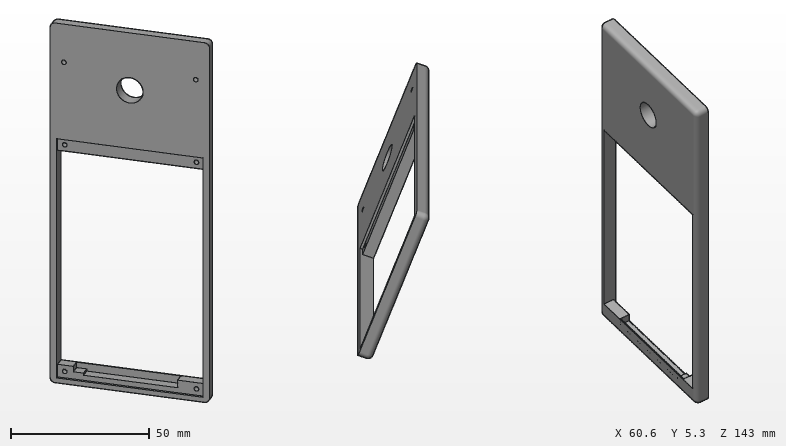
import cadquery as cq

width = 60.6
thickness = 5.3
height = 143.0
corner_radius = 2.0
back_edge_radius = 2.0

side_wall = 2.6
bottom_wall = 2.0
recess_width = width - 2 * side_wall
recess_height = 95.1
recess_depth = 1.0
ledge_height = 5.0
recess_bottom = bottom_wall
recess_top = recess_bottom + recess_height
window_bottom = recess_bottom + ledge_height
window_top = recess_top - ledge_height

large_hole_diameter = 10.0
large_hole_z = height - 22.9
screw_hole_diameter = 1.7
screw_hole_depth = 2.9
screw_hole_x = 25.0
upper_screw_z = height - 15.2
ledge_screw_offset = ledge_height / 2

pocket_left = -21.7
pocket_step_x = -17.9
pocket_right = 17.9
shallow_drop = 2.1
deep_drop = 3.0
pocket_back_wall = 0.5


def front_box(left, right, bottom, top, front, back):
    """Box given by its limits along X, Z and Y."""
    return (
        cq.Workplane("XY")
        .box(right - left, back - front, top - bottom, centered=False)
        .translate((left, front, bottom))
    )


def bore(x, z, diameter, front, depth):
    """Round cutter running from the front towards +Y."""
    return (
        cq.Workplane("XZ", origin=(x, front, z))
        .circle(diameter / 2)
        .extrude(-depth)
    )


def make_plate():
    plate = front_box(-width / 2, width / 2, 0, height, 0, thickness)
    plate = plate.edges("|Y").fillet(corner_radius)
    return plate.faces(">Y").edges().fillet(back_edge_radius)


def cut_window(plate):
    half = recess_width / 2
    recess = front_box(-half, half, recess_bottom, recess_top, 0, recess_depth)
    window = front_box(-half, half, window_bottom, window_top, 0, thickness)
    return plate.cut(recess).cut(window)


def cut_holes(plate):
    plate = plate.cut(bore(0, large_hole_z, large_hole_diameter, 0, thickness))
    screw_rows = [
        (upper_screw_z, 0),
        (recess_top - ledge_screw_offset, recess_depth),
        (recess_bottom + ledge_screw_offset, recess_depth),
    ]
    for z, front in screw_rows:
        for x in (-screw_hole_x, screw_hole_x):
            plate = plate.cut(bore(x, z, screw_hole_diameter, front, screw_hole_depth))
    return plate


def cut_pocket(plate):
    back = thickness - pocket_back_wall
    for left, right, drop in (
        (pocket_left, pocket_step_x, shallow_drop),
        (pocket_step_x, pocket_right, deep_drop),
    ):
        floor = window_bottom - drop
        plate = plate.cut(front_box(left, right, floor, window_bottom, recess_depth, back))
    return plate


result = cut_pocket(cut_holes(cut_window(make_plate())))